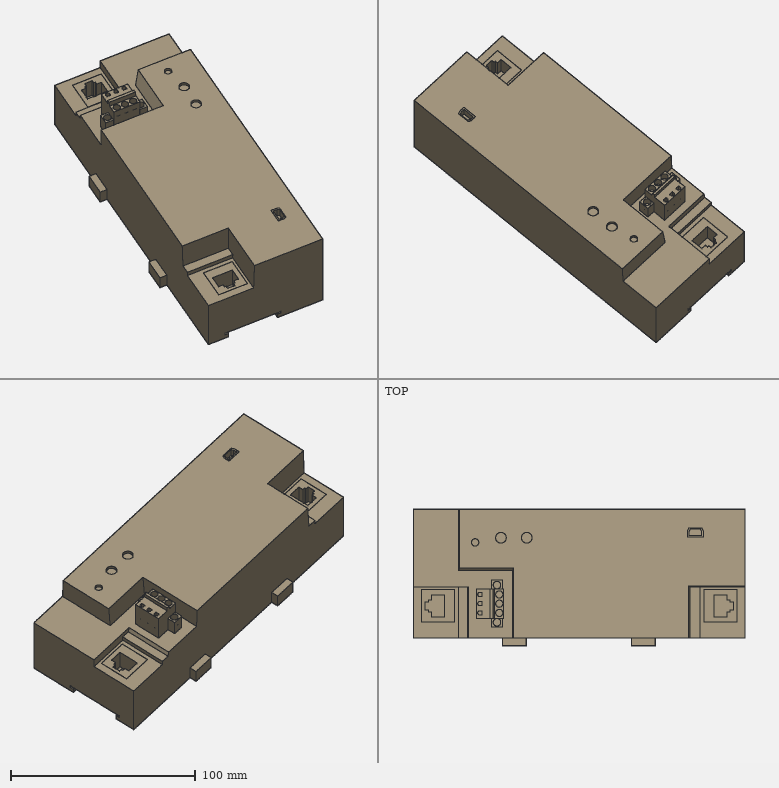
import cadquery as cq
LENGTH = 180.0
DEPTH = 70.0
HEIGHT = 50.0
OVERCUT = 1.0

DECK_Z = 37.5
DECK_WALL_X = 24.6
TERMINAL_BAY_WALL_X = 53.9
TERMINAL_BAY_BACK_Y = 36.6
WALL_LEAN_X = 0.5
WALL_LEAN_Y = 1.4

BAY_FLOOR_Z = 32.0
BAY_STEP_Z = 34.6
LEFT_BAY_DEPTH = 27.8
RIGHT_BAY_DEPTH = 27.7
BAY_FLOOR_LENGTH = 24.6
LEFT_BAY_STEP_LENGTH = 29.4
RIGHT_BAY_STEP_LENGTH = 29.8
LEFT_BAY_LEAN = 0.6
RIGHT_BAY_LEAN = 0.9
RIGHT_BAY_LEAN_Y = 0.5

SOCKET_PLATE_X = 4.4
SOCKET_PLATE_Y = 8.6
SOCKET_PLATE_WIDTH = 17.9
SOCKET_PLATE_HEIGHT = 17.6
INSERT_RECESS = 0.1
SOCKET_CENTER_Y = SOCKET_PLATE_Y + SOCKET_PLATE_HEIGHT / 2
SOCKET_INNER_X = 16.9
SOCKET_STAGES = ((9.7, 12.1), (8.1, 6.4), (6.4, 4.4))
SOCKET_DEEP = 12.0

PLUG_X = (34.3, 48.9)
PLUG_Y = (10.6, 26.7)
PLUG_TOP_Z = 53.5
RIB_X = (41.7, 43.3)
RIB_FOOT_X = 44.0
RIB_TOP_Z = 55.9
POLE_PITCH = 5.0
POLES = 3
PLUG_CENTER_Y = sum(PLUG_Y) / 2
SCREW_HOLE_X = 46.6
SCREW_HOLE_DIAMETER = 3.9
SCREW_HOLE_DEPTH = 5.0
TEST_SLOT_X = (34.9, 37.1)
TEST_SLOT_WIDTH = 2.2
TEST_SLOT_BOTTOM_Z = 43.4
TEST_SLOT_BULGE = 0.8

FLANGE_X = (42.3, 48.4)
FLANGE_Y = (5.9, 31.4)
FLANGE_TOP_Z = 46.6
FLANGE_HOLE_DIAMETER = 4.1
FLANGE_HOLE_SPACING = 20.2
FLANGE_HOLE_DEPTH = 5.0

INDICATORS = ((33.5, 51.9, 4.0), (47.5, 54.4, 5.8), (61.5, 54.4, 5.8))
INDICATOR_DEPTH = 1.7

USB_CENTER_X = 153.0
USB_FRONT_Y = 54.7
USB_WIDTH = 8.6
USB_HEIGHT = 4.9
USB_CHAMFER_X = 0.7
USB_CHAMFER_Y = 1.4
USB_SHELL = 0.9
USB_BACK_SHELL = 0.4
USB_DEEP = 5.0

GROOVE_MOUTH_Y = (12.4, 42.3)
GROOVE_Y = (10.3, 44.5)
GROOVE_LIP_Z = 2.7
GROOVE_TOP_Z = 3.9

LATCH_FIRST_X = 48.3
LATCH_SPACING = 70.0
LATCH_LENGTH = 13.0
LATCH_REACH = 4.2
LATCH_HEIGHT = 8.1


def block(x_range, y_range, z_range):
    """Box spanning the given ranges."""
    lows, highs = zip(x_range, y_range, z_range)
    size = [high - low for low, high in zip(lows, highs)]
    return cq.Workplane("XY").box(*size, centered=False).translate(lows)


def drafted_block(bottom_outline, top_outline, bottom_z, top_z):
    """Solid with straight leaning sides between two horizontal outlines."""
    return (
        cq.Workplane("XY", origin=(0, 0, bottom_z))
        .polyline(bottom_outline).close()
        .workplane(offset=top_z - bottom_z)
        .polyline(top_outline).close()
        .loft(ruled=True, combine=True)
    )


def cylinder(x, y, diameter, bottom_z, top_z):
    """Upright cylinder."""
    return cq.Workplane("XY", origin=(x, y, bottom_z)).circle(diameter / 2).extrude(top_z - bottom_z)


def mirror_to_right(shape):
    """Mirror a left-end feature onto the right end of the housing."""
    return shape.mirror("YZ", (LENGTH / 2, 0, 0))


def main_block_outline(lean_share):
    """Plan of the raised block; lean_share runs from 0 at the deck to 1 at the top."""
    left = DECK_WALL_X + lean_share * WALL_LEAN_X
    bay_right = TERMINAL_BAY_WALL_X + lean_share * WALL_LEAN_X
    bay_back = TERMINAL_BAY_BACK_Y + lean_share * WALL_LEAN_Y
    return [(left, DEPTH), (left, bay_back), (bay_right, bay_back), (bay_right, 0), (LENGTH, 0), (LENGTH, DEPTH)]


def make_housing():
    base = block((0, LENGTH), (0, DEPTH), (0, DECK_Z))
    return base.union(drafted_block(main_block_outline(0), main_block_outline(1), DECK_Z, HEIGHT))


def bay_cut(top_z, step_length, lean, floor_depth, lean_y):
    """Stepped bay at the left end; the wall above the step leans by lean, the full back wall by lean_y."""
    step_share = (BAY_STEP_Z - BAY_FLOOR_Z) / (top_z - BAY_FLOOR_Z)
    step_depth = floor_depth + lean_y * step_share

    def outline(x, y):
        return [(-OVERCUT, -OVERCUT), (x, -OVERCUT), (x, y), (-OVERCUT, y)]

    floor_part = drafted_block(
        outline(BAY_FLOOR_LENGTH, floor_depth),
        outline(BAY_FLOOR_LENGTH, step_depth),
        BAY_FLOOR_Z,
        BAY_STEP_Z,
    )
    upper_part = drafted_block(
        outline(step_length, step_depth),
        outline(step_length + lean, floor_depth + lean_y),
        BAY_STEP_Z,
        top_z,
    )
    return floor_part.union(upper_part).clean()


def socket_cut():
    """Shallow plate recess with the stepped plug opening, at the left end."""
    cut = block(
        (SOCKET_PLATE_X, SOCKET_PLATE_X + SOCKET_PLATE_WIDTH),
        (SOCKET_PLATE_Y, SOCKET_PLATE_Y + SOCKET_PLATE_HEIGHT),
        (BAY_FLOOR_Z - INSERT_RECESS, BAY_FLOOR_Z),
    )
    for outer_x, width in SOCKET_STAGES:
        stage = block(
            (outer_x, SOCKET_INNER_X),
            (SOCKET_CENTER_Y - width / 2, SOCKET_CENTER_Y + width / 2),
            (BAY_FLOOR_Z - SOCKET_DEEP, BAY_FLOOR_Z),
        )
        cut = cut.union(stage)
    return cut


def profile_along_y(points, y_range):
    """Extrude an XZ profile between two Y positions."""
    start, end = y_range
    return cq.Workplane("XZ", origin=(0, start, 0)).polyline(points).close().extrude(start - end)


def test_slot(y):
    """D-shaped slot beside a wire clamp, rounded on its left side."""
    left, right = TEST_SLOT_X
    front = y - TEST_SLOT_WIDTH / 2
    back = y + TEST_SLOT_WIDTH / 2
    return (
        cq.Workplane("XY", origin=(0, 0, TEST_SLOT_BOTTOM_Z))
        .moveTo(left + TEST_SLOT_BULGE, front)
        .lineTo(right, front)
        .lineTo(right, back)
        .lineTo(left + TEST_SLOT_BULGE, back)
        .threePointArc((left, y), (left + TEST_SLOT_BULGE, front))
        .close()
        .extrude(PLUG_TOP_Z - TEST_SLOT_BOTTOM_Z)
    )


def make_terminal():
    plug = block(PLUG_X, PLUG_Y, (DECK_Z, PLUG_TOP_Z))
    rib_left, rib_right = RIB_X
    rib_points = [(rib_left, PLUG_TOP_Z), (RIB_FOOT_X, PLUG_TOP_Z), (rib_right, RIB_TOP_Z), (rib_left, RIB_TOP_Z)]
    terminal = plug.union(profile_along_y(rib_points, PLUG_Y))
    terminal = terminal.union(block(FLANGE_X, FLANGE_Y, (DECK_Z, FLANGE_TOP_Z)))

    for pole in range(POLES):
        y = PLUG_CENTER_Y + (pole - (POLES - 1) / 2) * POLE_PITCH
        screw_hole = cylinder(SCREW_HOLE_X, y, SCREW_HOLE_DIAMETER, PLUG_TOP_Z - SCREW_HOLE_DEPTH, PLUG_TOP_Z)
        terminal = terminal.cut(screw_hole).cut(test_slot(y))

    for side in (-1, 1):
        y = PLUG_CENTER_Y + side * FLANGE_HOLE_SPACING / 2
        flange_hole = cylinder(
            sum(FLANGE_X) / 2, y, FLANGE_HOLE_DIAMETER, FLANGE_TOP_Z - FLANGE_HOLE_DEPTH, FLANGE_TOP_Z
        )
        terminal = terminal.cut(flange_hole)
    return terminal


def usb_prism(front_y, width, height, depth):
    """Rectangle with its two rear corners bevelled, sunk from the top face."""
    half = width / 2
    back_y = front_y + height
    points = [
        (-half, front_y),
        (half, front_y),
        (half, back_y - USB_CHAMFER_Y),
        (half - USB_CHAMFER_X, back_y),
        (USB_CHAMFER_X - half, back_y),
        (-half, back_y - USB_CHAMFER_Y),
    ]
    return cq.Workplane("XY", origin=(USB_CENTER_X, 0, HEIGHT)).polyline(points).close().extrude(-depth)


def usb_cut():
    """Slightly sunk shell rim around a deep opening."""
    rim = usb_prism(USB_FRONT_Y, USB_WIDTH, USB_HEIGHT, INSERT_RECESS)
    opening = usb_prism(
        USB_FRONT_Y + USB_SHELL,
        USB_WIDTH - 2 * USB_SHELL,
        USB_HEIGHT - USB_SHELL - USB_BACK_SHELL,
        USB_DEEP,
    )
    return rim.union(opening)


def rail_groove():
    """Undercut groove along the whole underside."""
    span = (-OVERCUT, LENGTH + OVERCUT)
    mouth = block(span, GROOVE_MOUTH_Y, (-OVERCUT, GROOVE_TOP_Z))
    return mouth.union(block(span, GROOVE_Y, (GROOVE_LIP_Z, GROOVE_TOP_Z)))


housing = make_housing()
housing = housing.cut(bay_cut(DECK_Z, LEFT_BAY_STEP_LENGTH, LEFT_BAY_LEAN, LEFT_BAY_DEPTH, 0))
right_bay = bay_cut(HEIGHT, RIGHT_BAY_STEP_LENGTH, RIGHT_BAY_LEAN, RIGHT_BAY_DEPTH, RIGHT_BAY_LEAN_Y)
housing = housing.cut(mirror_to_right(right_bay))
housing = housing.cut(socket_cut()).cut(mirror_to_right(socket_cut()))
for hole_x, hole_y, hole_diameter in INDICATORS:
    housing = housing.cut(cylinder(hole_x, hole_y, hole_diameter, HEIGHT - INDICATOR_DEPTH, HEIGHT))
housing = housing.cut(usb_cut()).cut(rail_groove())

for latch_x in (LATCH_FIRST_X, LATCH_FIRST_X + LATCH_SPACING):
    housing = housing.union(block((latch_x, latch_x + LATCH_LENGTH), (-LATCH_REACH, 0), (0, LATCH_HEIGHT)))

result = housing.union(make_terminal())